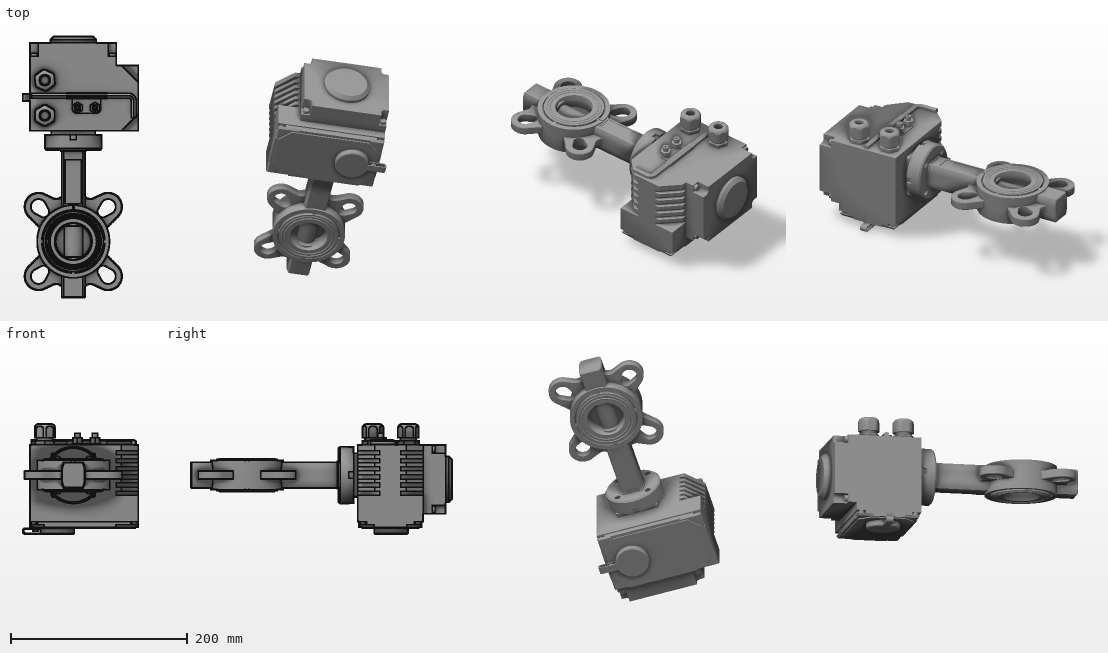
import cadquery as cq
import math


RIM_RADIUS = 41.0
RIM_HALF_HEIGHT = 16.5
LINER_RADIUS = 34.0
LINER_HALF_HEIGHT = 17.8
LINER_BEAD_RADII = (27.2, 30.8)
LINER_BEAD_SECTION_RADIUS = 1.0
GROOVE_OUTER_RADIUS = 35.8
GROOVE_DEPTH = 3.0
GROOVE_TAB_WIDTH = 4.0
RIM_SLOT_WIDTH = 1.8
RIM_SLOT_DEPTH = 1.2
BORE_RADIUS = 19.8
BORE_MOUTH_RADIUS = 21.3
BORE_TAPER_DEPTH = 7.0
DISC_THICKNESS = 3.5
DISC_HUB_RADIUS = 10.7
DISC_HUB_HALF_LENGTH = 17.2
SHAFT_BOSS_RADIUS = 14.2
SHAFT_BOSS_START = 18.0
SHAFT_RADIUS = 6.0

LUG_CENTER = 39.5
LUG_RADIUS = 16.0
LUG_THICKNESS = 9.8
LUG_HALF_THICKNESS = LUG_THICKNESS / 2
LUG_EDGE_CHAMFER = 0.75
LUG_FLANK_ANGLE = math.radians(20)
LUG_FLANK_END = (23.7, 49.7)
LUG_WEB_LOW_POINT = (18.5, 48.5)
LUG_WEB_END_Y = 51.0
LUG_HOLE_OUTER_RADIUS = 8.5
LUG_HOLE_INNER_RADIUS = 6.2
LUG_HOLE_INNER_CENTER = 33.7

NECK_BOTTOM = -63.5
NECK_HALF_WIDTH = 13.3
NECK_FLAT_HALF_WIDTH = 11.0
NECK_HEIGHT = 29.3
NECK_HALF_HEIGHT = NECK_HEIGHT / 2
NECK_SIDE_HALF_HEIGHT = LUG_HALF_THICKNESS
NECK_SHOULDER = (12.7, 10.5)
NECK_END_CHAMFER = 1.0
NECK_COLLAR_LENGTH = 1.5
NECK_COLLAR_GROWTH = 1.0
LABEL_HALF_WIDTH = 9.0
LABEL_START = 42.5
LABEL_END = 92.5
LABEL_DEPTH = 1.0
FLANGE_FRONT = 103.5
FLANGE_BACK = 120.8
FLANGE_RADIUS = 32.3
FLANGE_CHAMFER = 1.8
FLANGE_HOLE_OFFSET = 17.8
FLANGE_HOLE_RADIUS = 3.5
FLANGE_NOTCH_WIDTH = 7.0
FLANGE_NOTCH_LENGTH = 5.5
FLANGE_NOTCH_DEPTH = 3.0

HOUSING_LEFT = -49.0
HOUSING_RIGHT = 73.7
HOUSING_FRONT = 125.2
HOUSING_STEP = 199.5
HOUSING_BACK = 225.0
HOUSING_TOP = 34.3
HOUSING_BOTTOM = -52.7
REAR_RIGHT = 48.8
REAR_BOTTOM = -43.8
PAD_WIDTH = 50.0
PAD_CORNER_RADIUS = 3.0
CORNER_CUT = 19.2
CORNER_CUT_BOTTOM = -22.8
VENT_COUNT = 6
VENT_HEIGHT = 4.7
VENT_PITCH = 9.2
VENT_REACH = 6.0
REAR_POCKET_WIDTH = 9.2
REAR_POCKET_LENGTH = 15.5
REAR_POCKET_HEIGHT = 9.5
REAR_POCKET_FILLET = 4.5
REAR_SCREW_RADIUS = 3.5
REAR_SCREW_LENGTH = 3.8
CAP_RADIUS = 26.0
CAP_CHAMFER = 3.8
OVERALL_LENGTH = 296.0
CAP_END = NECK_BOTTOM + OVERALL_LENGTH

LID_INSET = 1.5
LID_BOTTOM = -59.0
LID_LEFT_FOOT_LENGTH = 16.0
LID_RIGHT_FOOT_LENGTH = 25.5
LID_FOOT_DEPTH = 17.2
LID_FOOT_BEVEL_HEIGHT = 2.7
LID_FOOT_BEVEL_WIDTH = 1.5
LID_POCKET = 9.0
LID_POCKET_HEIGHT = 3.3
LID_SCREW_RADIUS = 3.0
COVER_INSET = 3.5
COVER_CORNER_CUT = 13.3
COVER_BOTTOM = -60.0
INDICATOR_X = -18.0
INDICATOR_Y = 163.0
INDICATOR_RADIUS = 19.2
INDICATOR_BOTTOM = -67.0
INDICATOR_CHAMFER = 1.2
CLIP_LEFT = -57.5
CLIP_WIDTH = 8.3
CLIP_THICKNESS = 1.2
CLIP_BEND_RADIUS = 3.3
CLIP_SCREW_X = -43.0
CLIP_SCREW_RADIUS = 3.0
CLIP_SCREW_LENGTH = 3.5

GLAND_X = -32.3
GLAND_FRONT_Y = 142.7
GLAND_REAR_Y = 182.5
GLAND_REAR_TURN = 6
GLAND_BASE_FLATS = 21.3
GLAND_BASE_HEIGHT = 4.5
GLAND_COLLAR_RADIUS = 9.2
GLAND_COLLAR_HEIGHT = 3.3
GLAND_NUT_FLATS = 22.5
GLAND_NUT_RADIUS = 12.0
GLAND_HEIGHT = 23.7
GLAND_DOME_FILLET = 5.5
GLAND_HOLE_RADIUS = 5.0
GLAND_HOLE_CHAMFER = 1.2
GLAND_HOLE_DEPTH = 9.0

KEY_FLATS = 5.5
KEY_HEIGHT = 2.5
KEY_LEFT = -47.5
KEY_Y = 165.2
KEY_LEG_X = 68.5
KEY_LEG_END = 140.0
KEY_BEND_RADIUS = 6.0
HOLDER_LEFT = -7.7
HOLDER_RIGHT = 37.5
HOLDER_WIDTH = 6.5
HOLDER_HEIGHT = 4.5
BRACKET_LEFT = -1.2
BRACKET_RIGHT = 31.0
BRACKET_FRONT = 145.3
BRACKET_THICKNESS = 1.2
BRACKET_CORNER_RADIUS = 5.3
BOLT_X_POSITIONS = (4.7, 24.5)
BOLT_Y = 151.5
BOLT_FLATS = 10.5
BOLT_HEAD_TOP = 42.3
BOLT_STUD_RADIUS = 3.3
BOLT_STUD_TOP = 47.7
BOLT_SOCKET_RADIUS = 1.5
BOLT_SOCKET_DEPTH = 2.5


def block(x0, x1, y0, y1, z0, z1):
    """Axis-aligned box between two opposite corners."""
    size = (x1 - x0, y1 - y0, z1 - z0)
    return cq.Workplane("XY").box(*size, centered=False).translate((x0, y0, z0))


def cylinder_z(x, y, radius, z0, z1):
    """Cylinder along Z."""
    return cq.Workplane("XY", origin=(x, y, z0)).circle(radius).extrude(z1 - z0)


def cylinder_y(x, z, radius, y0, y1):
    """Cylinder along Y."""
    return cq.Workplane("XZ", origin=(x, y0, z)).circle(radius).extrude(y0 - y1)


def hexagon_z(x, y, flats, z0, z1):
    """Hexagonal prism along Z with two corners on the Y direction."""
    corner_diameter = flats / math.cos(math.pi / 6)
    plane = cq.Workplane("XY", origin=(x, y, z0)).transformed(rotate=(0, 0, 90))
    return plane.polygon(6, corner_diameter).extrude(z1 - z0)


def make_lug():
    """One mounting ear in the +X +Y quadrant with its tapered slot."""
    diagonal = LUG_RADIUS / math.sqrt(2)
    sine = math.sin(LUG_FLANK_ANGLE)
    cosine = math.cos(LUG_FLANK_ANGLE)
    flank_start = (LUG_CENTER - LUG_RADIUS * sine, LUG_CENTER + LUG_RADIUS * cosine)
    ear = (
        cq.Workplane("XY", origin=(0, 0, -LUG_HALF_THICKNESS))
        .moveTo(0, 0)
        .lineTo(2 * diagonal, 0)
        .lineTo(LUG_CENTER + diagonal, LUG_CENTER - diagonal)
        .threePointArc((LUG_CENTER + diagonal, LUG_CENTER + diagonal), flank_start)
        .lineTo(*LUG_FLANK_END)
        .threePointArc(LUG_WEB_LOW_POINT, (NECK_HALF_WIDTH, LUG_WEB_END_Y))
        .lineTo(0, LUG_WEB_END_Y)
        .close()
        .extrude(LUG_THICKNESS)
        .faces("|Z")
        .chamfer(LUG_EDGE_CHAMFER)
    )
    return ear.cut(make_lug_slot())


def make_lug_slot():
    """Tapered slot: a large and a small circle joined by their tangents."""
    spacing = (LUG_CENTER - LUG_HOLE_INNER_CENTER) * math.sqrt(2)
    tilt = math.asin((LUG_HOLE_OUTER_RADIUS - LUG_HOLE_INNER_RADIUS) / spacing)

    def tangent_point(center, radius, side):
        angle = math.pi / 4 + side * (math.pi / 2 + tilt)
        return (center + radius * math.cos(angle), center + radius * math.sin(angle))

    def tip(center, radius, direction):
        along = center + direction * radius / math.sqrt(2)
        return (along, along)

    return (
        cq.Workplane("XY", origin=(0, 0, -RIM_HALF_HEIGHT))
        .moveTo(*tangent_point(LUG_CENTER, LUG_HOLE_OUTER_RADIUS, -1))
        .threePointArc(
            tip(LUG_CENTER, LUG_HOLE_OUTER_RADIUS, 1),
            tangent_point(LUG_CENTER, LUG_HOLE_OUTER_RADIUS, 1),
        )
        .lineTo(*tangent_point(LUG_HOLE_INNER_CENTER, LUG_HOLE_INNER_RADIUS, 1))
        .threePointArc(
            tip(LUG_HOLE_INNER_CENTER, LUG_HOLE_INNER_RADIUS, -1),
            tangent_point(LUG_HOLE_INNER_CENTER, LUG_HOLE_INNER_RADIUS, -1),
        )
        .close()
        .extrude(2 * RIM_HALF_HEIGHT)
    )


def neck_outline(y):
    """Neck section at a given Y: flat top and sides joined by rounded shoulders."""
    quarter = [
        (NECK_HALF_WIDTH, NECK_SIDE_HALF_HEIGHT),
        NECK_SHOULDER,
        (NECK_FLAT_HALF_WIDTH, NECK_HALF_HEIGHT),
    ]

    def corner(index, x_sign, z_sign):
        return (x_sign * quarter[index][0], z_sign * quarter[index][1])

    return (
        cq.Workplane("XZ", origin=(0, y, 0))
        .moveTo(*corner(0, 1, -1))
        .lineTo(*corner(0, 1, 1))
        .threePointArc(corner(1, 1, 1), corner(2, 1, 1))
        .lineTo(*corner(2, -1, 1))
        .threePointArc(corner(1, -1, 1), corner(0, -1, 1))
        .lineTo(*corner(0, -1, -1))
        .threePointArc(corner(1, -1, -1), corner(2, -1, -1))
        .lineTo(*corner(2, 1, -1))
        .threePointArc(corner(1, 1, -1), corner(0, 1, -1))
        .close()
    )


def make_neck():
    """Long neck with a sunken label panel and a thin collar against the flange."""
    neck = neck_outline(NECK_BOTTOM).extrude(NECK_BOTTOM - FLANGE_FRONT)
    neck = neck.faces("<Y").chamfer(NECK_END_CHAMFER)
    collar_outline = neck_outline(FLANGE_FRONT - NECK_COLLAR_LENGTH).offset2D(NECK_COLLAR_GROWTH)
    collar = collar_outline.extrude(-NECK_COLLAR_LENGTH)
    label = block(
        -LABEL_HALF_WIDTH, LABEL_HALF_WIDTH, LABEL_START, LABEL_END,
        NECK_HALF_HEIGHT - LABEL_DEPTH, NECK_HALF_HEIGHT,
    )
    return neck.cut(label).union(collar)


def make_flange():
    """Round top flange with four bolt holes and four notches at its back edge."""
    flange = cylinder_y(0, 0, FLANGE_RADIUS, FLANGE_FRONT, FLANGE_BACK)
    flange = flange.faces("<Y").edges().chamfer(FLANGE_CHAMFER)
    for x in (-FLANGE_HOLE_OFFSET, FLANGE_HOLE_OFFSET):
        for z in (-FLANGE_HOLE_OFFSET, FLANGE_HOLE_OFFSET):
            flange = flange.cut(cylinder_y(x, z, FLANGE_HOLE_RADIUS, FLANGE_FRONT, FLANGE_BACK))
    notch = block(
        -FLANGE_NOTCH_WIDTH / 2, FLANGE_NOTCH_WIDTH / 2,
        FLANGE_BACK - FLANGE_NOTCH_LENGTH, FLANGE_BACK,
        FLANGE_RADIUS - FLANGE_NOTCH_DEPTH, FLANGE_RADIUS,
    )
    for turn in range(4):
        flange = flange.cut(notch.rotate((0, 0, 0), (0, 1, 0), 90 * turn))
    return flange


def make_rim_gap():
    """Annular gap between rim and liner on the top face, bridged by four tabs."""
    bottom = RIM_HALF_HEIGHT - GROOVE_DEPTH
    gap = (
        cq.Workplane("XY", origin=(0, 0, bottom))
        .circle(GROOVE_OUTER_RADIUS)
        .circle(LINER_RADIUS)
        .extrude(GROOVE_DEPTH)
    )
    half_tab = GROOVE_TAB_WIDTH / 2
    for turn in range(4):
        tab = block(0, RIM_RADIUS, -half_tab, half_tab, bottom, RIM_HALF_HEIGHT)
        gap = gap.cut(tab.rotate((0, 0, 0), (0, 0, 1), 90 * turn))
    return gap


def make_valve():
    """Rim, liner, lugs, neck and flange, bored out and closed by the disc."""
    body = cylinder_z(0, 0, RIM_RADIUS, -RIM_HALF_HEIGHT, RIM_HALF_HEIGHT)
    body = body.union(cylinder_z(0, 0, LINER_RADIUS, -LINER_HALF_HEIGHT, LINER_HALF_HEIGHT))
    lug = make_lug()
    right_lugs = lug.union(lug.mirror("XZ"))
    body = body.union(right_lugs).union(right_lugs.mirror("YZ"))
    body = body.union(make_neck()).union(make_flange())

    gap = make_rim_gap()
    body = body.cut(gap).cut(gap.mirror("XY"))
    rim_slot = block(
        -RIM_SLOT_WIDTH / 2, RIM_SLOT_WIDTH / 2, GROOVE_OUTER_RADIUS, RIM_RADIUS,
        RIM_HALF_HEIGHT - RIM_SLOT_DEPTH, RIM_HALF_HEIGHT,
    )
    body = body.cut(rim_slot)
    for radius in LINER_BEAD_RADII:
        bead = cq.Workplane(cq.Solid.makeTorus(radius, LINER_BEAD_SECTION_RADIUS))
        for z in (-LINER_HALF_HEIGHT, LINER_HALF_HEIGHT):
            body = body.union(bead.translate((0, 0, z)))

    bore = cylinder_z(0, 0, BORE_RADIUS, -LINER_HALF_HEIGHT, LINER_HALF_HEIGHT)
    mouth = cq.Workplane(
        cq.Solid.makeCone(
            BORE_RADIUS, BORE_MOUTH_RADIUS, BORE_TAPER_DEPTH,
            pnt=cq.Vector(0, 0, LINER_HALF_HEIGHT - BORE_TAPER_DEPTH),
        )
    )
    body = body.cut(bore).cut(mouth).cut(mouth.mirror("XY"))
    disc = cylinder_z(0, 0, BORE_RADIUS, -DISC_THICKNESS / 2, DISC_THICKNESS / 2)
    hub = cylinder_y(0, 0, DISC_HUB_RADIUS, -DISC_HUB_HALF_LENGTH, DISC_HUB_HALF_LENGTH)
    boss = cylinder_y(0, 0, SHAFT_BOSS_RADIUS, SHAFT_BOSS_START, LINER_RADIUS)
    shaft = cylinder_y(0, 0, SHAFT_RADIUS, -LINER_RADIUS, LINER_RADIUS)
    return body.union(disc).union(hub).union(boss).union(boss.mirror("XZ")).union(shaft)


def make_corner_prism(cut, y_corner, y_direction, z0, z1):
    """Triangular prism that bevels a right-hand vertical edge of the housing."""
    return (
        cq.Workplane("XY", origin=(0, 0, z0))
        .moveTo(HOUSING_RIGHT, y_corner)
        .lineTo(HOUSING_RIGHT - cut, y_corner)
        .lineTo(HOUSING_RIGHT, y_corner + y_direction * cut)
        .close()
        .extrude(z1 - z0)
    )


def make_housing():
    """Stepped box with bevelled right edges, cooling vents and rear screw pockets."""
    housing = block(
        HOUSING_LEFT, HOUSING_RIGHT, HOUSING_FRONT, HOUSING_STEP, HOUSING_BOTTOM, HOUSING_TOP
    )
    housing = housing.union(
        block(HOUSING_LEFT, REAR_RIGHT, HOUSING_STEP, HOUSING_BACK, REAR_BOTTOM, HOUSING_TOP)
    )
    for y, direction in ((HOUSING_FRONT, 1), (HOUSING_STEP, -1)):
        bevel = make_corner_prism(CORNER_CUT, y, direction, CORNER_CUT_BOTTOM, HOUSING_TOP)
        housing = housing.cut(bevel)
        for index in range(VENT_COUNT):
            z = CORNER_CUT_BOTTOM + index * VENT_PITCH
            vent = make_corner_prism(CORNER_CUT + VENT_REACH, y, direction, z, z + VENT_HEIGHT)
            housing = housing.cut(vent)
    for x, x_inward in ((HOUSING_LEFT, 1), (REAR_RIGHT, -1)):
        for z, z_inward in ((REAR_BOTTOM, 1), (HOUSING_TOP, -1)):
            housing = cut_rear_pocket(housing, x, x_inward, z, z_inward)
    return housing


def cut_rear_pocket(housing, x, x_inward, z, z_inward):
    """Open pocket at a rear corner with a screw head standing on its floor."""
    center = (
        x + x_inward * REAR_POCKET_WIDTH / 2,
        HOUSING_BACK - REAR_POCKET_LENGTH / 2,
        z + z_inward * REAR_POCKET_HEIGHT / 2,
    )
    size = (REAR_POCKET_WIDTH, REAR_POCKET_LENGTH, REAR_POCKET_HEIGHT)
    pocket = cq.Workplane("XY").box(*size).translate(center)
    inner_edge_middle = (
        x + x_inward * REAR_POCKET_WIDTH,
        center[1],
        z + z_inward * REAR_POCKET_HEIGHT,
    )
    inner_edge = cq.selectors.NearestToPointSelector(inner_edge_middle)
    pocket = pocket.edges(inner_edge).fillet(REAR_POCKET_FILLET)
    floor = HOUSING_BACK - REAR_POCKET_LENGTH
    screw = cylinder_y(center[0], center[2], REAR_SCREW_RADIUS, floor, floor + REAR_SCREW_LENGTH)
    return housing.cut(pocket).union(screw)


def make_mounting_pad():
    """Square pad between housing and valve flange."""
    depth = HOUSING_FRONT - FLANGE_BACK
    pad = cq.Workplane("XZ", origin=(0, FLANGE_BACK, 0)).rect(PAD_WIDTH, PAD_WIDTH).extrude(-depth)
    return pad.edges("|Y").fillet(PAD_CORNER_RADIUS)


def make_rear_cap():
    """Round cap on the back face, centred on its height."""
    z = (HOUSING_TOP + REAR_BOTTOM) / 2
    cap = cylinder_y(0, z, CAP_RADIUS, HOUSING_BACK, CAP_END)
    return cap.faces(">Y").edges().chamfer(CAP_CHAMFER)


def make_lid():
    """Lid with bevelled feet, a screw in each corner pocket and a raised cover plate."""
    left = HOUSING_LEFT
    right = HOUSING_RIGHT
    front = HOUSING_FRONT + LID_INSET
    back = HOUSING_STEP - LID_INSET
    lid = block(left, right, front, back, LID_BOTTOM, HOUSING_BOTTOM)
    lid = lid.faces("<Z").edges().chamfer(LID_FOOT_BEVEL_HEIGHT, LID_FOOT_BEVEL_WIDTH)
    middle_left = left + LID_LEFT_FOOT_LENGTH
    middle_right = right - LID_RIGHT_FOOT_LENGTH
    middle_front = front + LID_FOOT_DEPTH
    middle_back = back - LID_FOOT_DEPTH
    lid = lid.union(block(middle_left, middle_right, front, back, LID_BOTTOM, HOUSING_BOTTOM))
    lid = lid.union(block(left, right, middle_front, middle_back, LID_BOTTOM, HOUSING_BOTTOM))
    cover = block(
        left + COVER_INSET, right - COVER_INSET, front + COVER_INSET, back - COVER_INSET,
        COVER_BOTTOM, LID_BOTTOM,
    )
    lid = lid.union(cover.edges("|Z").chamfer(COVER_CORNER_CUT))
    pocket_floor = HOUSING_BOTTOM - LID_POCKET_HEIGHT
    half_pocket = LID_POCKET / 2
    for x in (left + half_pocket, right - half_pocket):
        for y in (front + half_pocket, back - half_pocket):
            pocket = block(
                x - half_pocket, x + half_pocket, y - half_pocket, y + half_pocket,
                pocket_floor, HOUSING_BOTTOM,
            )
            screw = cylinder_z(x, y, LID_SCREW_RADIUS, pocket_floor, HOUSING_BOTTOM)
            lid = lid.cut(pocket).union(screw)
    return lid


def make_indicator():
    """Position indicator dial and the U-shaped spring clip that holds it."""
    dial = cylinder_z(INDICATOR_X, INDICATOR_Y, INDICATOR_RADIUS, INDICATOR_BOTTOM, COVER_BOTTOM)
    dial = dial.faces("<Z").edges().chamfer(INDICATOR_CHAMFER)
    y0 = INDICATOR_Y - CLIP_WIDTH / 2
    y1 = INDICATOR_Y + CLIP_WIDTH / 2
    clip = block(CLIP_LEFT, INDICATOR_X, y0, y1, INDICATOR_BOTTOM, COVER_BOTTOM)
    clip = clip.edges("|Y and <X").fillet(CLIP_BEND_RADIUS)
    inside = block(
        CLIP_LEFT + CLIP_THICKNESS, INDICATOR_X, y0, y1,
        INDICATOR_BOTTOM + CLIP_THICKNESS, COVER_BOTTOM - CLIP_THICKNESS,
    )
    clip = clip.cut(inside.edges("|Y and <X").fillet(CLIP_BEND_RADIUS - CLIP_THICKNESS))
    screw = cylinder_z(
        CLIP_SCREW_X, INDICATOR_Y, CLIP_SCREW_RADIUS, COVER_BOTTOM - CLIP_SCREW_LENGTH, COVER_BOTTOM
    )
    return dial.union(clip).union(screw)


def make_gland(y, turn):
    """Cable gland, turned about Z: hex base, round collar and domed hex nut with a throat."""
    base_top = HOUSING_TOP + GLAND_BASE_HEIGHT
    nut_bottom = base_top + GLAND_COLLAR_HEIGHT
    top = HOUSING_TOP + GLAND_HEIGHT
    base = hexagon_z(GLAND_X, y, GLAND_BASE_FLATS, HOUSING_TOP, base_top)
    collar = cylinder_z(GLAND_X, y, GLAND_COLLAR_RADIUS, base_top, nut_bottom)
    dome = cylinder_z(GLAND_X, y, GLAND_NUT_RADIUS, nut_bottom, top)
    dome = dome.faces(">Z").edges().fillet(GLAND_DOME_FILLET)
    nut = dome.intersect(hexagon_z(GLAND_X, y, GLAND_NUT_FLATS, nut_bottom, top))
    throat = cylinder_z(GLAND_X, y, GLAND_HOLE_RADIUS, top - GLAND_HOLE_DEPTH, top)
    gland = base.union(collar).union(nut).cut(throat)
    rim = cq.selectors.RadiusNthSelector(0)
    gland = gland.faces(">Z").edges(rim).chamfer(GLAND_HOLE_CHAMFER)
    return gland.rotate((GLAND_X, y, 0), (GLAND_X, y, 1), turn)


def make_hex_key():
    """L-shaped hex key set into the top of the housing with one ridge upward."""
    z = HOUSING_TOP + KEY_HEIGHT
    bend_offset = KEY_BEND_RADIUS * (1 - math.sqrt(0.5))
    path = (
        cq.Workplane("XY", origin=(0, 0, z))
        .moveTo(KEY_LEFT, KEY_Y)
        .lineTo(KEY_LEG_X - KEY_BEND_RADIUS, KEY_Y)
        .threePointArc(
            (KEY_LEG_X - bend_offset, KEY_Y - bend_offset),
            (KEY_LEG_X, KEY_Y - KEY_BEND_RADIUS),
        )
        .lineTo(KEY_LEG_X, KEY_LEG_END)
    )
    corner_diameter = KEY_FLATS / math.cos(math.pi / 6)
    section = cq.Workplane("YZ", origin=(KEY_LEFT, KEY_Y, z)).transformed(rotate=(0, 0, 90))
    return section.polygon(6, corner_diameter).sweep(path)


def make_key_bracket():
    """Holder strip over the key and the bolted plate that carries it."""
    holder = block(
        HOLDER_LEFT, HOLDER_RIGHT, KEY_Y - HOLDER_WIDTH / 2, KEY_Y + HOLDER_WIDTH / 2,
        HOUSING_TOP, HOUSING_TOP + HOLDER_HEIGHT,
    )
    plate_top = HOUSING_TOP + BRACKET_THICKNESS
    plate = block(BRACKET_LEFT, BRACKET_RIGHT, BRACKET_FRONT, KEY_Y, HOUSING_TOP, plate_top)
    plate = plate.edges("|Z and <Y").fillet(BRACKET_CORNER_RADIUS)
    bracket = holder.union(plate)
    for x in BOLT_X_POSITIONS:
        head = hexagon_z(x, BOLT_Y, BOLT_FLATS, plate_top, BOLT_HEAD_TOP)
        stud = cylinder_z(x, BOLT_Y, BOLT_STUD_RADIUS, plate_top, BOLT_STUD_TOP)
        socket_bottom = BOLT_STUD_TOP - BOLT_SOCKET_DEPTH
        socket = cylinder_z(x, BOLT_Y, BOLT_SOCKET_RADIUS, socket_bottom, BOLT_STUD_TOP)
        bracket = bracket.union(head).union(stud).cut(socket)
    return bracket


result = make_valve().union(make_mounting_pad()).union(make_housing()).union(make_rear_cap())
result = result.union(make_lid()).union(make_indicator())
result = result.union(make_gland(GLAND_FRONT_Y, 0)).union(make_gland(GLAND_REAR_Y, GLAND_REAR_TURN))
result = result.union(make_hex_key()).union(make_key_bracket())